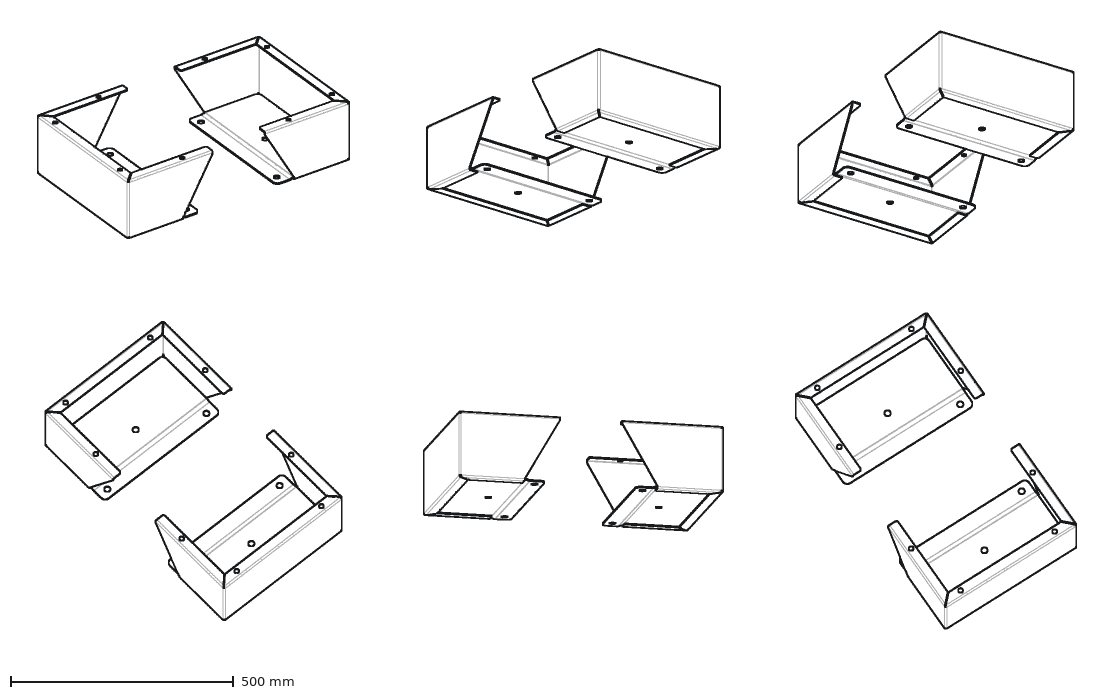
import cadquery as cq
import math

overall_length = 609.5
width = 355.5
height = 152.5
half_width = width / 2
half_length = overall_length / 2

sheet = 3.0
bend_radius = 4.0
inner_bend_radius = bend_radius - sheet

arm_length = 233.0
tip_height = 8.0
bottom_length = 152.0
side_lip = 25.0
back_lip = 26.0
mitre_gap = 2.5
mitre_angle = 45.0
tip_corner_radius = 5.0
lip_hole_diameter = 11.0
side_hole_inset = 14.0
side_hole_distance = 159.0
back_hole_inset = 14.5
back_hole_offset = 127.0

plate_half_width = half_width - bend_radius
plate_start = bend_radius
step_start = 152.5
step_end = 163.0
plate_end = 200.0
plate_corner_radius = 12.0
plate_hole_diameter = 14.0
centre_hole_distance = 108.5
strip_hole_distance = 180.5
strip_hole_offset = 148.0


def round_edges(part, edge_middles, radius):
    """Rounds the edges whose midpoints lie at the given points."""
    for point in edge_middles:
        part = part.edges(cq.NearestToPointSelector(point)).fillet(radius)
    return part


def rounded_block(inset, radius):
    """Block inset from the outside of the housing, rounded except at its open end."""
    block = cq.Workplane("XY").box(
        width - 2 * inset, arm_length, height - 2 * inset, centered=(True, False, False)
    ).translate((0, inset, inset))
    return block.edges("|X and <Y or |Y or (|Z and <Y)").fillet(radius)


def lip_holes():
    """Drills that pierce the top lips only."""
    points = []
    for side in (-1, 1):
        points.append((side * back_hole_offset, back_hole_inset))
        points.append((side * (half_width - side_hole_inset), side_hole_distance))
    drill = cq.Workplane("XY", origin=(0, 0, height / 2)).pushPoints(points)
    return drill.circle(lip_hole_diameter / 2).extrude(height)


def cut_mitres(housing):
    """Cuts the diagonal gaps between neighbouring lips at both back corners, top and bottom."""
    slit_length = 2 * math.hypot(side_lip, back_lip)
    for side in (-1, 1):
        for level in (0, height):
            slit = cq.Workplane("XY").box(slit_length, mitre_gap, 2 * bend_radius)
            slit = slit.rotate((0, 0, 0), (0, 0, 1), -side * mitre_angle)
            housing = housing.cut(slit.translate((side * (half_width - side_lip), back_lip, level)))
    return housing


def make_housing():
    housing = rounded_block(0, bend_radius).cut(rounded_block(sheet, inner_bend_radius))
    opening = cq.Workplane("XY").box(
        width - 2 * side_lip, arm_length, height, centered=(True, False, False)
    ).translate((0, back_lip, 0))
    housing = housing.cut(opening.translate((0, 0, height / 2)))
    housing = housing.cut(opening.translate((0, 0, -height / 2)))
    sloped_end = (
        cq.Workplane("YZ")
        .moveTo(arm_length, height - tip_height)
        .lineTo(bottom_length, bend_radius)
        .lineTo(bottom_length, 0)
        .lineTo(arm_length, 0)
        .close()
        .extrude(half_width, both=True)
    )
    housing = housing.cut(sloped_end)
    housing = cut_mitres(housing)
    housing = housing.cut(lip_holes())
    tip_corners = [
        (side * (half_width - side_lip), arm_length, height - sheet / 2) for side in (-1, 1)
    ]
    return round_edges(housing, tip_corners, tip_corner_radius)


def make_base_plate():
    plate = (
        cq.Workplane("YZ")
        .moveTo(plate_start, sheet)
        .lineTo(step_start, sheet)
        .lineTo(step_end, 0)
        .lineTo(plate_end, 0)
        .lineTo(plate_end, sheet)
        .lineTo(step_end, sheet)
        .lineTo(step_start, 2 * sheet)
        .lineTo(plate_start, 2 * sheet)
        .close()
        .extrude(plate_half_width, both=True)
    )
    plate = round_edges(plate, [(0, step_start, 2 * sheet), (0, step_end, 0)], bend_radius)
    plate = round_edges(plate, [(0, step_start, sheet), (0, step_end, sheet)], inner_bend_radius)
    plate = plate.edges("|Z").edges("<Y or >Y").fillet(plate_corner_radius)
    holes = [(side * strip_hole_offset, strip_hole_distance) for side in (-1, 1)]
    holes.append((0, centre_hole_distance))
    drill = cq.Workplane("XY").pushPoints(holes).circle(plate_hole_diameter / 2).extrude(height)
    return plate.cut(drill)


bodies = []
for body in (make_housing(), make_base_plate()):
    front_body = body.translate((0, -half_length, 0))
    bodies += [front_body.solids().val(), front_body.mirror("XZ").solids().val()]

result = cq.Compound.makeCompound(bodies)